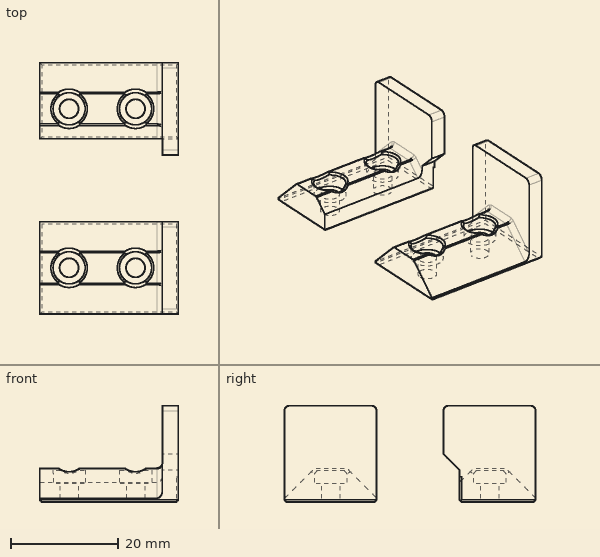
import cadquery as cq
import math

LENGTH = 25.9
WIDTH = 17.25
HEIGHT = 18.0
PITCH = 29.67
PLATE_THICKNESS = 3.0
PLATE_CORNER_RADIUS = 1.0
RAIL_HEIGHT = 6.35
RAIL_TOP_WIDTH = 6.0
SLOPE_ANGLE = 45
ROOT_RADIUS = 1.0
EDGE_BREAK = 0.4
BOTTOM_CHAMFER = 0.4

FIRST_HOLE_X = 5.5
HOLE_SPACING = 12.4
HOLE_COUNT = 2
HOLE_DIAMETER = 3.5
HEAD_DIAMETER = 6.0
HEAD_DEPTH = 2.85

RELIEF_WIDTH = 3.0
RELIEF_HEIGHT = 6.0
BACK_CORNER_CHAMFER = 0.4
BACK_CORNER_HEIGHT = 4.7

RAIL_LENGTH = LENGTH - PLATE_THICKNESS
HALF_WIDTH = WIDTH / 2
HALF_TOP = RAIL_TOP_WIDTH / 2
SLOPE_START = RAIL_HEIGHT - (HALF_WIDTH - HALF_TOP)
RELIEF_Y = -HALF_WIDTH + RELIEF_WIDTH
RIDGE_CHAMFER = EDGE_BREAK * math.tan(math.radians(SLOPE_ANGLE / 2))
HEAD_RADIUS = HEAD_DIAMETER / 2
RIM_RADIUS = HEAD_RADIUS + EDGE_BREAK
HOLE_POSITIONS = [(FIRST_HOLE_X + i * HOLE_SPACING, 0) for i in range(HOLE_COUNT)]


def make_plate():
    """Upright plate with its two upper corners rounded."""
    plate = cq.Workplane("XY").box(PLATE_THICKNESS, WIDTH, HEIGHT, centered=(False, True, False))
    plate = plate.edges("|X and >Z").fillet(PLATE_CORNER_RADIUS)
    return plate.translate((RAIL_LENGTH, 0, 0))


def make_rail():
    """Rail with 45 degree sides and chamfered ridges, running through to the back of the plate."""
    outline = [
        (-HALF_WIDTH, 0),
        (HALF_WIDTH, 0),
        (HALF_WIDTH, SLOPE_START),
        (HALF_TOP, RAIL_HEIGHT),
        (-HALF_TOP, RAIL_HEIGHT),
        (-HALF_WIDTH, SLOPE_START),
    ]
    rail = cq.Workplane("YZ").polyline(outline).close().extrude(LENGTH)
    return rail.edges("|X and >Z").chamfer(RIDGE_CHAMFER)


def fillet_root(body):
    """Fillet the edges where the rail's top and slopes run into the plate."""
    margin = 0.01
    root = cq.selectors.BoxSelector(
        (RAIL_LENGTH - margin, -HALF_WIDTH + margin, SLOPE_START - margin),
        (RAIL_LENGTH + margin, HALF_WIDTH - margin, RAIL_HEIGHT + margin),
    )
    return body.edges(root).fillet(ROOT_RADIUS)


def ellipse_over_circle(radius, steepness, center_y, center_z):
    """Ellipse in a plane falling toward +Y that looks like a circle from above."""
    plane = cq.Plane(origin=(0, center_y, center_z), xDir=(-1, 0, 0), normal=(0, steepness, 1))
    return cq.Workplane(plane).ellipse(radius, radius * math.hypot(1, steepness)).val()


def make_slope_rim_cutter():
    """Rim chamfer on the +Y slope of a screw head recess.

    It joins points EDGE_BREAK inside both faces: a curve on the recess wall
    and a shifted circle on the 45 degree slope.
    """
    setback = EDGE_BREAK * math.sin(math.radians(SLOPE_ANGLE))
    ridge_z = RAIL_HEIGHT + HALF_TOP
    wall_curve = ellipse_over_circle(HEAD_RADIUS, RIM_RADIUS / HEAD_RADIUS, 0, ridge_z - 2 * setback)
    slope_curve = ellipse_over_circle(RIM_RADIUS, 1, setback, ridge_z - setback)
    return cq.Workplane(cq.Solid.makeLoft([wall_curve, slope_curve], True))


def cut_screw_holes(body):
    """Through holes with flat-bottomed head recesses and chamfered rims."""
    hole = cq.Workplane("XY").circle(HOLE_DIAMETER / 2).extrude(RAIL_HEIGHT)
    recess_floor = cq.Workplane("XY", origin=(0, 0, RAIL_HEIGHT - HEAD_DEPTH))
    recess = recess_floor.circle(HEAD_RADIUS).extrude(HEAD_DEPTH)
    rim = recess.faces(">Z").workplane().circle(RIM_RADIUS).extrude(-EDGE_BREAK, taper=45, combine=False)
    slope_rim = make_slope_rim_cutter()
    for x, y in HOLE_POSITIONS:
        for cutter in (hole, recess, rim, slope_rim, slope_rim.mirror("XZ")):
            body = body.cut(cutter.translate((x, y, 0)))
    return body


def chamfer_bottom(body):
    """Chamfer the straight outer edges of the underside."""
    return body.faces("<Z").edges("not %CIRCLE").chamfer(BOTTOM_CHAMFER)


def cut_relief(body):
    """Cut away the -Y side below a 45 degree overhang."""
    outline = [
        (-HALF_WIDTH, 0),
        (RELIEF_Y, 0),
        (RELIEF_Y, RELIEF_HEIGHT),
        (-HALF_WIDTH, RELIEF_HEIGHT + RELIEF_WIDTH),
    ]
    return body.cut(cq.Workplane("YZ").polyline(outline).close().extrude(LENGTH))


def cut_back_corner(body):
    """Chamfer the lower part of the upright corner between the relief and the back face."""
    outline = [
        (LENGTH - BACK_CORNER_CHAMFER, RELIEF_Y),
        (LENGTH, RELIEF_Y),
        (LENGTH, RELIEF_Y + BACK_CORNER_CHAMFER),
    ]
    return body.cut(cq.Workplane("XY").polyline(outline).close().extrude(BACK_CORNER_HEIGHT))


def make_bracket_blank():
    """Bracket shape shared by both bodies, before the bottom chamfer."""
    return cut_screw_holes(fillet_root(make_plate().union(make_rail())))


def make_full_bracket():
    return chamfer_bottom(make_bracket_blank())


def make_notched_bracket():
    bracket = cut_back_corner(chamfer_bottom(cut_relief(make_bracket_blank())))
    return bracket.translate((0, PITCH, 0))


full_bracket = make_full_bracket()
notched_bracket = make_notched_bracket()
result = cq.Compound.makeCompound([full_bracket.val(), notched_bracket.val()])